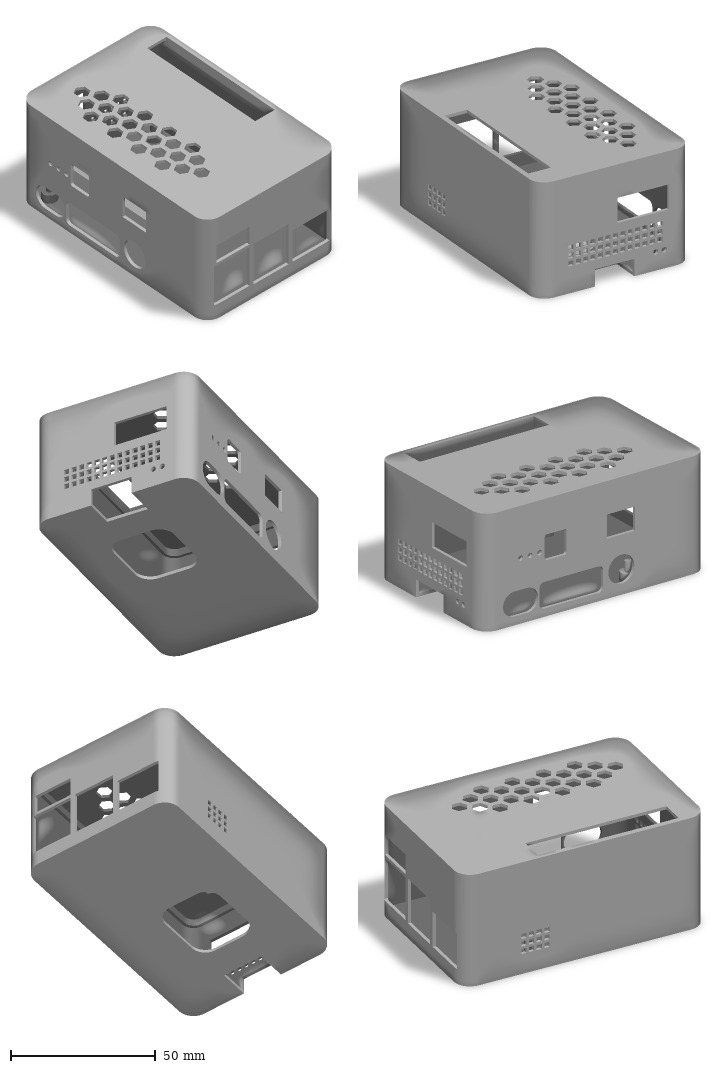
import cadquery as cq
import math

LENGTH = 95.6
DEPTH = 62.4
HEIGHT = 44.5
CORNER_RADIUS = 6.2
WALL = 1.2
FLOOR = 1.2
LID_THICKNESS = 1.2
CUT_MARGIN = 1.0

FRONT_FACE = -DEPTH / 2
BACK_FACE = DEPTH / 2
LEFT_FACE = -LENGTH / 2
RIGHT_FACE = LENGTH / 2
RIM = HEIGHT - LID_THICKNESS
INNER_LENGTH = LENGTH - 2 * WALL
INNER_DEPTH = DEPTH - 2 * WALL
INNER_RADIUS = CORNER_RADIUS - WALL

POST_CENTER_X = -10.3
POST_SPACING_X = 58.1
POST_SPACING_Y = 49.05
POST_DIAMETER = 6.0
POST_TOP = 4.8
PIN_DIAMETER = 2.5
PIN_TOP = 8.8
FLOOR_OPENING_SIZE = (26.9, 23.8)
FLOOR_OPENING_CENTER = (-10.9, 3.5)
FLOOR_OPENING_RADIUS = 6.0

ROUND_PORT_DIAMETER = 11.0
ROUND_PORT_CENTER = (11.2, 9.7)
WIDE_PORT_SIZE = (27.2, 10.0)
WIDE_PORT_CENTER = (-10.1, 8.1)
WIDE_PORT_RADIUS = 2.0
OVAL_PORT_SIZE = (14.9, 9.5)
OVAL_PORT_CENTER = (-31.6, 8.0)
BUTTON_SIZE = (9.4, 9.7)
BUTTON_CENTER = (-16.7, 26.0)
BUTTON_RADIUS = 1.0
PLUG_SIZE = (11.95, 9.1)
PLUG_CENTER = (11.0, 27.25)
LIGHT_DIAMETER = 2.0
LIGHT_PITCH = 4.0
LIGHT_MIDDLE = (-27.6, 24.7)
LIGHT_COUNT = 3

WINDOW_SIZE = (20.7, 9.6)
WINDOW_CENTER = (-11.4, 26.9)
CARD_NOTCH_WIDTH = 16.1
CARD_NOTCH_CENTER_Y = 0.2
CARD_NOTCH_TOP = 6.7
CARD_NOTCH_LENGTH = 11.5
PEEPHOLE_DIAMETER = 2.1
PEEPHOLE_PITCH = 3.5
PEEPHOLE_MIDDLE = (-18.2, 7.1)
PEEPHOLE_COUNT = 2

VENT_HOLE = 2.0
VENT_PITCH = 1.5 * VENT_HOLE
VENT_ROWS = 3
LEFT_VENT_COLUMNS = 13
LEFT_VENT_CENTER = (-0.1, 14.3)
BACK_VENT_COLUMNS = 4
BACK_VENT_FIRST_X = 14.7
BACK_VENT_CENTER_Z = 11.95

RIGHT_PORTS = [
    (9.3, 26.8, 5.9, 19.9),
    (-9.2, 7.4, 5.9, 23.7),
    (-27.3, -11.0, 6.3, 23.4),
    (-26.4, -11.0, 24.7, 32.5),
]
RIGHT_PORT_REACH = CORNER_RADIUS

LIP_DEPTH = 3.0
LIP_WIDTH = 1.1
HEADER_SIZE = (55.1, 9.2)
HEADER_CENTER = (-10.3, 24.6)
HEX_DIAMETER = 6.0
HEX_GAP = 1.8
HEX_FIELD_CENTER = (-4.9, -13.0)
HEX_ROWS = [(-2, 3), (-1, 4), (0, 5), (1, 4), (2, 3)]
HEX_PITCH = HEX_DIAMETER * math.cos(math.pi / 6) + HEX_GAP


def rounded_block(length, depth, radius, bottom, top):
    """Upright block centred on the Z axis, with rounded vertical corners."""
    block = cq.Workplane("XY", origin=(0, 0, bottom)).rect(length, depth).extrude(top - bottom)
    return block.edges("|Z").fillet(radius)


def box_between(x_range, y_range, z_range):
    size = [high - low for low, high in (x_range, y_range, z_range)]
    corner = (x_range[0], y_range[0], z_range[0])
    return cq.Workplane("XY").box(*size, centered=False).translate(corner)


def on_front(center):
    """Workplane just outside the front wall; local axes are X and Z."""
    return cq.Workplane("XZ", origin=(center[0], FRONT_FACE - CUT_MARGIN, center[1]))


def on_left(center):
    """Workplane just outside the left wall; local axes are Y and Z."""
    return cq.Workplane("YZ", origin=(LEFT_FACE - CUT_MARGIN, center[0], center[1]))


def case_shell():
    outside = rounded_block(LENGTH, DEPTH, CORNER_RADIUS, 0, RIM)
    return outside.cut(rounded_block(INNER_LENGTH, INNER_DEPTH, INNER_RADIUS, FLOOR, RIM))


def board_posts():
    """Four stepped posts that carry and locate the circuit board."""
    def cylinders(diameter, top):
        plane = cq.Workplane("XY", origin=(POST_CENTER_X, 0, 0))
        return plane.rarray(POST_SPACING_X, POST_SPACING_Y, 2, 2).circle(diameter / 2).extrude(top)

    return cylinders(POST_DIAMETER, POST_TOP).union(cylinders(PIN_DIAMETER, PIN_TOP))


def floor_opening():
    opening = rounded_block(*FLOOR_OPENING_SIZE, FLOOR_OPENING_RADIUS, -CUT_MARGIN, FLOOR + CUT_MARGIN)
    return opening.translate((*FLOOR_OPENING_CENTER, 0))


def front_openings():
    depth = -(WALL + 2 * CUT_MARGIN)
    round_port = on_front(ROUND_PORT_CENTER).circle(ROUND_PORT_DIAMETER / 2).extrude(depth)
    wide_port = on_front(WIDE_PORT_CENTER).rect(*WIDE_PORT_SIZE).extrude(depth)
    wide_port = wide_port.edges("|Y").fillet(WIDE_PORT_RADIUS)
    oval_port = on_front(OVAL_PORT_CENTER).slot2D(*OVAL_PORT_SIZE).extrude(depth)
    button = on_front(BUTTON_CENTER).rect(*BUTTON_SIZE).extrude(depth)
    button = button.edges("|Y").fillet(BUTTON_RADIUS)
    plug = on_front(PLUG_CENTER).rect(*PLUG_SIZE).extrude(depth)
    lights = on_front(LIGHT_MIDDLE).rarray(LIGHT_PITCH, 1, LIGHT_COUNT, 1)
    lights = lights.circle(LIGHT_DIAMETER / 2).extrude(depth)
    return [round_port, wide_port, oval_port, button, plug, lights]


def left_openings():
    depth = WALL + 2 * CUT_MARGIN
    window = on_left(WINDOW_CENTER).rect(*WINDOW_SIZE).extrude(depth)
    vents = on_left(LEFT_VENT_CENTER).rarray(VENT_PITCH, VENT_PITCH, LEFT_VENT_COLUMNS, VENT_ROWS)
    vents = vents.rect(VENT_HOLE, VENT_HOLE).extrude(depth)
    peepholes = on_left(PEEPHOLE_MIDDLE).rarray(PEEPHOLE_PITCH, 1, PEEPHOLE_COUNT, 1)
    peepholes = peepholes.circle(PEEPHOLE_DIAMETER / 2).extrude(depth)
    notch_x = (LEFT_FACE - CUT_MARGIN, LEFT_FACE + CARD_NOTCH_LENGTH)
    notch_y = (CARD_NOTCH_CENTER_Y - CARD_NOTCH_WIDTH / 2, CARD_NOTCH_CENTER_Y + CARD_NOTCH_WIDTH / 2)
    card_notch = box_between(notch_x, notch_y, (-CUT_MARGIN, CARD_NOTCH_TOP))
    return [window, vents, peepholes, card_notch]


def back_vents():
    center_x = BACK_VENT_FIRST_X + (BACK_VENT_COLUMNS - 1) / 2 * VENT_PITCH
    plane = cq.Workplane("XZ", origin=(center_x, BACK_FACE + CUT_MARGIN, BACK_VENT_CENTER_Z))
    holes = plane.rarray(VENT_PITCH, VENT_PITCH, BACK_VENT_COLUMNS, VENT_ROWS)
    return holes.rect(VENT_HOLE, VENT_HOLE).extrude(WALL + 2 * CUT_MARGIN)


def right_ports():
    x_range = (RIGHT_FACE - RIGHT_PORT_REACH, RIGHT_FACE + CUT_MARGIN)
    return [box_between(x_range, (y0, y1), (z0, z1)) for y0, y1, z0, z1 in RIGHT_PORTS]


def make_case():
    case = case_shell().union(board_posts())
    cutters = [floor_opening(), back_vents()] + front_openings() + left_openings() + right_ports()
    for cutter in cutters:
        case = case.cut(cutter)
    return case


def hex_vents(bottom, top):
    points = [
        (column * HEX_PITCH * math.cos(math.pi / 6), half_row * HEX_PITCH / 2)
        for half_row, reach in HEX_ROWS
        for column in range(-reach, reach + 1, 2)
    ]
    plane = cq.Workplane("XY", origin=(*HEX_FIELD_CENTER, bottom))
    return plane.pushPoints(points).polygon(6, HEX_DIAMETER).extrude(top - bottom)


def make_lid():
    """Flat lid with a lip that fits just inside the case walls."""
    lip_bottom = RIM - LIP_DEPTH
    plate = rounded_block(LENGTH, DEPTH, CORNER_RADIUS, RIM, HEIGHT)
    lip = rounded_block(INNER_LENGTH, INNER_DEPTH, INNER_RADIUS, lip_bottom, RIM)
    lip_bore = rounded_block(
        INNER_LENGTH - 2 * LIP_WIDTH,
        INNER_DEPTH - 2 * LIP_WIDTH,
        INNER_RADIUS - LIP_WIDTH,
        lip_bottom,
        RIM,
    )
    lid = plate.union(lip.cut(lip_bore))
    cut_bottom = lip_bottom - CUT_MARGIN
    cut_top = HEIGHT + CUT_MARGIN
    header = cq.Workplane("XY", origin=(*HEADER_CENTER, cut_bottom)).rect(*HEADER_SIZE)
    lid = lid.cut(header.extrude(cut_top - cut_bottom))
    return lid.cut(hex_vents(cut_bottom, cut_top))


case = make_case()
lid = make_lid()

result = cq.Compound.makeCompound([case.val(), lid.val()])